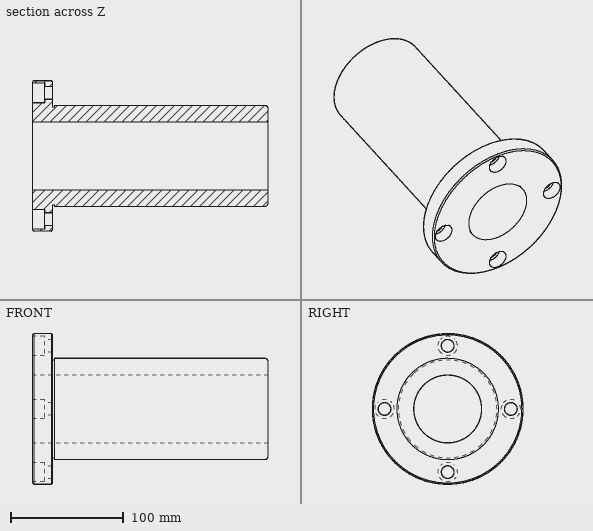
import cadquery as cq

length = 209.0
flange_diameter = 134.0
flange_thickness = 18.0
flange_chamfer = 1.3
sleeve_diameter = 90.0
bore_diameter = 60.0
end_fillet = 3.0

groove_width = 1.5
groove_depth = 1.5

bolt_count = 4
bolt_circle_diameter = 112.0
bolt_hole_diameter = 11.0
counterbore_diameter = 17.1
counterbore_depth = 10.9


def disc(start, thickness, diameter):
    """Cylinder along X beginning at the given X position."""
    return cq.Workplane("YZ").workplane(offset=start).circle(diameter / 2).extrude(thickness)


def make_flange():
    return disc(0, flange_thickness, flange_diameter).edges().chamfer(flange_chamfer)


def make_sleeve():
    neck = disc(flange_thickness, groove_width, sleeve_diameter - 2 * groove_depth)
    sleeve_start = flange_thickness + groove_width
    sleeve = disc(sleeve_start, length - sleeve_start, sleeve_diameter)
    sleeve = sleeve.faces(">X").edges().fillet(end_fillet)
    return neck.union(sleeve)


def cut_bolt_holes(body):
    """Bolt holes sunk from the outer flange face."""
    return (
        body.faces("<X")
        .workplane(origin=(0, 0, 0))
        .polarArray(bolt_circle_diameter / 2, 0, 360, bolt_count)
        .cboreHole(bolt_hole_diameter, counterbore_diameter, counterbore_depth, flange_thickness)
    )


body = make_flange().union(make_sleeve())
body = body.cut(disc(0, length, bore_diameter))
result = cut_bolt_holes(body)